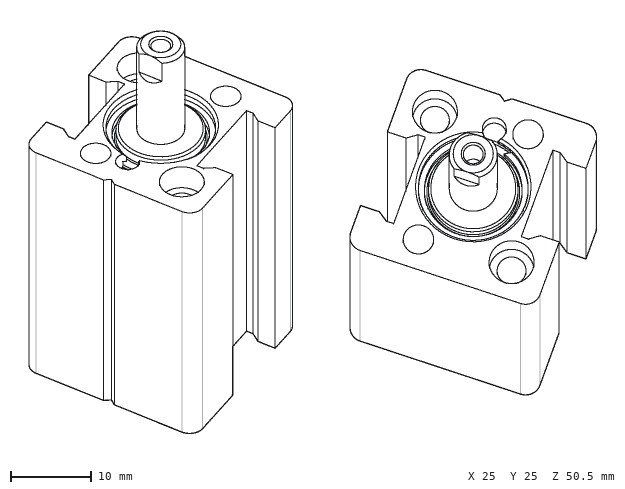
import cadquery as cq
import math


housing_width = 25.0
housing_height = 37.0
corner_radius = 1.9
half_width = housing_width / 2
top_z = housing_height

slot_floor_x = 7.8
slot_throat_x = 8.75
slot_lip_x = 10.0
slot_offset_y = 1.8
slot_mouth_width = 10.2
slot_inner_width = 12.0

groove_half_width = 0.8
groove_depth = 0.6

mount_offset = 7.75
mount_hole_diameter = 3.6
counterbore_diameter = 5.6
counterbore_depth = 3.5
plain_hole_x = 4.2
plain_hole_y = 8.75
plain_hole_diameter = 3.8

lip_radius = 13.7 / 2
recess_radius = 14.4 / 2
lip_chamfer_depth = 0.5
ring_top_z = top_z - 1.3
ring_thickness = 0.9
ring_bottom_z = ring_top_z - ring_thickness
recess_floor_z = ring_bottom_z - lip_chamfer_depth

access_hole_diameter = 3.0
access_hole_y = -8.0

boss_radius = 11.2 / 2
boss_chamfer = 0.3
boss_top_z = top_z - 0.6
boss_base_radius = 5.8
boss_base_height = 0.12

ring_inner_radius = 6.1
gap_corner_x = 2.1
gap_corner_y = -5.75
gap_end_angle = 30.0

rod_diameter = 6.0
rod_radius = rod_diameter / 2
rod_top_z = 50.5
rod_bottom_z = 5.0
rod_chamfer = 0.5
across_flats = 5.0
flat_height = 3.5
tap_diameter = 2.46
tap_mouth_diameter = 3.0
tap_depth = 6.0
tap_cone_depth = 0.7


def turned(points):
    """Solid of revolution about Z from (radius, z) points."""
    return cq.Workplane("XZ").polyline(points).close().revolve(360, (0, 0), (0, 1))


def side_slot():
    """Slot open to the -X side, narrower at its mouth than at its floor."""
    mouth = slot_mouth_width / 2
    inner = slot_inner_width / 2
    upper_edge = [
        (-half_width, mouth),
        (-slot_lip_x, mouth),
        (-slot_throat_x, inner),
        (-slot_floor_x, inner),
    ]
    lower_edge = [(x, -y) for x, y in reversed(upper_edge)]
    outline = cq.Workplane("XY").polyline(upper_edge + lower_edge).close()
    return outline.extrude(housing_height).translate((0, -slot_offset_y, 0))


def block():
    body = cq.Workplane("XY").rect(housing_width, housing_width).extrude(housing_height)
    body = body.edges("|Z").fillet(corner_radius)
    for angle in (0, 180):
        body = body.cut(side_slot().rotate((0, 0, 0), (0, 0, 1), angle))
    groove_points = [
        (-groove_half_width, -half_width),
        (0, -half_width + groove_depth),
        (groove_half_width, -half_width),
    ]
    return body.cut(cq.Workplane("XY").polyline(groove_points).close().extrude(housing_height))


def drill_corner_holes(body):
    mounts = [(-mount_offset, mount_offset), (mount_offset, -mount_offset)]
    plain_holes = [(plain_hole_x, plain_hole_y), (-plain_hole_x, -plain_hole_y)]
    top = body.faces(">Z").workplane(origin=(0, 0, top_z))
    body = top.pushPoints(mounts).cboreHole(mount_hole_diameter, counterbore_diameter, counterbore_depth)
    top = body.faces(">Z").workplane(origin=(0, 0, top_z))
    return top.pushPoints(plain_holes).hole(plain_hole_diameter)


def top_recess():
    """Recess with a chamfered lip, the ring groove and a cone down to the floor."""
    return turned([
        (0, top_z),
        (recess_radius, top_z),
        (lip_radius, top_z - lip_chamfer_depth),
        (lip_radius, ring_top_z),
        (recess_radius, ring_top_z),
        (recess_radius, ring_bottom_z),
        (lip_radius, recess_floor_z),
        (0, recess_floor_z),
    ])


def access_hole():
    hole = cq.Workplane("XY", origin=(0, access_hole_y, ring_bottom_z)).circle(access_hole_diameter / 2)
    return hole.extrude(top_z - ring_bottom_z)


def boss():
    """Bushing boss with a chamfered top edge and a flared base."""
    return turned([
        (0, recess_floor_z),
        (lip_radius, recess_floor_z),
        (lip_radius, ring_bottom_z),
        (boss_base_radius, ring_bottom_z),
        (boss_radius, ring_bottom_z + boss_base_height),
        (boss_radius, boss_top_z - boss_chamfer),
        (boss_radius - boss_chamfer, boss_top_z),
        (0, boss_top_z),
    ])


def make_housing():
    body = drill_corner_holes(block())
    body = body.cut(top_recess()).cut(access_hole()).union(boss())
    bore = cq.Workplane("XY", origin=(0, 0, rod_bottom_z)).circle(rod_radius)
    return body.cut(bore.extrude(top_z - rod_bottom_z))


def make_snap_ring():
    """Flat ring in the groove, open on the -Y side between slanted ends."""
    ring = cq.Workplane("XY", origin=(0, 0, ring_bottom_z)).circle(recess_radius).circle(ring_inner_radius)
    ring = ring.extrude(ring_thickness)
    gap_outer_x = gap_corner_x + (gap_corner_y + recess_radius) / math.tan(math.radians(gap_end_angle))
    right_edge = [
        (gap_corner_x, 0),
        (gap_corner_x, gap_corner_y),
        (gap_outer_x, -recess_radius),
    ]
    left_edge = [(-x, y) for x, y in reversed(right_edge)]
    gap = cq.Workplane("XY", origin=(0, 0, ring_bottom_z)).polyline(right_edge + left_edge).close()
    return ring.cut(gap.extrude(ring_thickness))


def rod_flat():
    """Cutter for the flat on the +Y side, with a 45 degree run-out at its lower end."""
    flat_y = across_flats / 2
    flat_z = rod_top_z - flat_height
    run_out = rod_radius - flat_y
    points = [
        (flat_y, rod_top_z),
        (flat_y, flat_z),
        (rod_radius, flat_z - run_out),
        (rod_radius, rod_top_z),
    ]
    return cq.Workplane("YZ").polyline(points).close().extrude(rod_radius, both=True)


def tapped_hole():
    tap_radius = tap_diameter / 2
    mouth_radius = tap_mouth_diameter / 2
    return turned([
        (0, rod_top_z),
        (mouth_radius, rod_top_z),
        (tap_radius, rod_top_z - (mouth_radius - tap_radius)),
        (tap_radius, rod_top_z - tap_depth),
        (0, rod_top_z - tap_depth - tap_cone_depth),
    ])


def make_rod():
    rod = cq.Workplane("XY", origin=(0, 0, rod_bottom_z)).circle(rod_radius).extrude(rod_top_z - rod_bottom_z)
    rod = rod.faces(">Z").chamfer(rod_chamfer)
    for angle in (0, 180):
        rod = rod.cut(rod_flat().rotate((0, 0, 0), (0, 0, 1), angle))
    return rod.cut(tapped_hole())


housing = make_housing()
snap_ring = make_snap_ring()
piston_rod = make_rod()

result = cq.Compound.makeCompound([housing.val(), snap_ring.val(), piston_rod.val()])